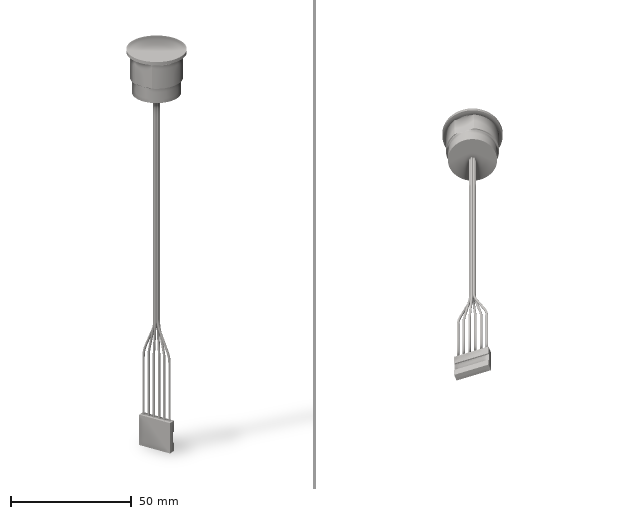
import cadquery as cq
import math

TOTAL_HEIGHT = 184.0

FLANGE_DIAMETER = 25.0
FLANGE_THICKNESS = 1.5
BODY_DIAMETER = 20.5
COLLAR_DIAMETER = 22.0
COLLAR_HEIGHT = 10.7
NECK_HEIGHT = 1.0
COLLAR_FILLET = 0.4
HOUSING_HEIGHT = 20.0

RING_DIAMETER = 19.3
CAP_DIAMETER = 15.5
INSERT_DEPTH = FLANGE_THICKNESS

WIRE_COUNT = 6
WIRE_SPAN = 12.7
WIRE_PITCH = WIRE_SPAN / (WIRE_COUNT - 1)
CONNECTOR_WIDTH = 15.0
CONNECTOR_THICKNESS = 3.0
CONNECTOR_HEIGHT = 14.0
NOTCH_DEPTH = 0.5
NOTCH_HEIGHT = 5.0
NOTCH_BOTTOM = 3.9

WIRE_DIAMETER = 1.0
BUNDLE_RADIUS = 0.95
SPLAY_TOP = 57.0
SPLAY_BOTTOM = 43.5
BEND_RADIUS = 14.7
BUNDLE_ANGLES = [150, 210, 270, 90, 30, 330]

HOUSING_BOTTOM = TOTAL_HEIGHT - HOUSING_HEIGHT
FLANGE_BOTTOM = TOTAL_HEIGHT - FLANGE_THICKNESS
COLLAR_TOP = FLANGE_BOTTOM - NECK_HEIGHT
COLLAR_BOTTOM = COLLAR_TOP - COLLAR_HEIGHT
INSERT_BOTTOM = TOTAL_HEIGHT - INSERT_DEPTH


def disc(diameter, bottom, top):
    """Upright cylinder on the Z axis."""
    return cq.Workplane("XY").workplane(offset=bottom).circle(diameter / 2).extrude(top - bottom)


def make_housing():
    body_radius = BODY_DIAMETER / 2
    collar_radius = COLLAR_DIAMETER / 2
    step_radius = body_radius + COLLAR_FILLET
    body = (
        cq.Workplane("XZ")
        .moveTo(0, HOUSING_BOTTOM)
        .lineTo(body_radius, HOUSING_BOTTOM)
        .lineTo(body_radius, COLLAR_BOTTOM - COLLAR_FILLET)
        .tangentArcPoint((step_radius, COLLAR_BOTTOM), relative=False)
        .lineTo(collar_radius, COLLAR_BOTTOM)
        .lineTo(collar_radius, COLLAR_TOP)
        .lineTo(step_radius, COLLAR_TOP)
        .tangentArcPoint((body_radius, COLLAR_TOP + COLLAR_FILLET), relative=False)
        .lineTo(body_radius, FLANGE_BOTTOM)
        .lineTo(0, FLANGE_BOTTOM)
        .close()
        .revolve()
    )
    flange = disc(FLANGE_DIAMETER, FLANGE_BOTTOM, TOTAL_HEIGHT)
    flats = cq.Workplane("XY").box(COLLAR_DIAMETER, BODY_DIAMETER, 2 * TOTAL_HEIGHT)
    recess = disc(RING_DIAMETER, INSERT_BOTTOM, TOTAL_HEIGHT)
    return body.intersect(flats).union(flange).cut(recess)


def make_cap():
    return disc(CAP_DIAMETER, INSERT_BOTTOM, TOTAL_HEIGHT)


def make_ring():
    return disc(RING_DIAMETER, INSERT_BOTTOM, TOTAL_HEIGHT).cut(make_cap())


def make_wire(index):
    """One wire: straight in the bundle, sloping outwards, then straight into the connector."""
    angle = math.radians(BUNDLE_ANGLES[index])
    start_x = BUNDLE_RADIUS * math.cos(angle)
    start_y = BUNDLE_RADIUS * math.sin(angle)
    shift_x = (index - (WIRE_COUNT - 1) / 2) * WIRE_PITCH - start_x
    shift = math.hypot(shift_x, start_y)

    slope = math.atan2(shift, SPLAY_TOP - SPLAY_BOTTOM)
    tangent = BEND_RADIUS * math.tan(slope / 2)
    along = tangent * math.sin(slope)
    down = tangent * math.cos(slope)
    plane = cq.Plane(
        origin=(start_x, start_y, 0),
        xDir=(shift_x, -start_y, 0),
        normal=(-start_y, -shift_x, 0),
    )
    path = (
        cq.Workplane(plane)
        .moveTo(0, HOUSING_BOTTOM)
        .lineTo(0, SPLAY_TOP + tangent)
        .tangentArcPoint((along, SPLAY_TOP - down), relative=False)
        .lineTo(shift - along, SPLAY_BOTTOM + down)
        .tangentArcPoint((shift, SPLAY_BOTTOM - tangent), relative=False)
        .lineTo(shift, CONNECTOR_HEIGHT)
    )
    section = cq.Workplane("XY", origin=(start_x, start_y, HOUSING_BOTTOM)).circle(WIRE_DIAMETER / 2)
    return section.sweep(path)


def make_wire_harness():
    harness = make_wire(0)
    for index in range(1, WIRE_COUNT):
        harness = harness.union(make_wire(index))
    return harness


def make_connector():
    block = cq.Workplane("XY").box(
        CONNECTOR_WIDTH, CONNECTOR_THICKNESS, CONNECTOR_HEIGHT, centered=(True, True, False)
    )
    notch = (
        cq.Workplane("XY")
        .box(CONNECTOR_WIDTH, 2 * NOTCH_DEPTH, NOTCH_HEIGHT, centered=(True, True, False))
        .translate((0, CONNECTOR_THICKNESS / 2, NOTCH_BOTTOM))
    )
    return block.cut(notch)


housing = make_housing()
ring = make_ring()
cap = make_cap()
harness = make_wire_harness()
connector = make_connector()

result = cq.Compound.makeCompound(
    [housing.solids().val(), ring.val(), cap.val(), harness.solids().val(), connector.val()]
)